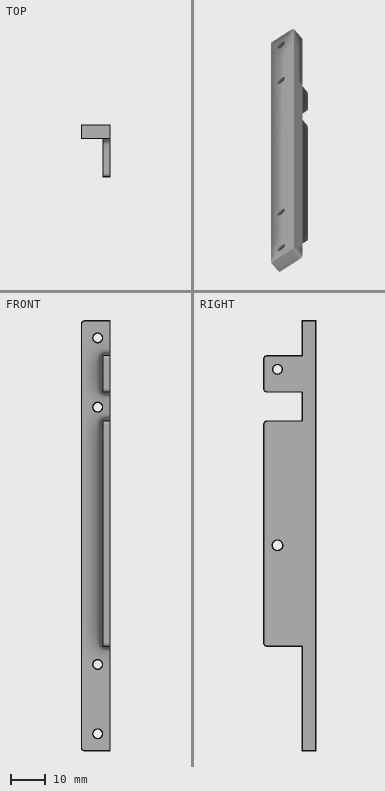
import cadquery as cq

bar_width = 8.3
bar_depth = 4.0
bar_height = 124.2
bar_corner_radius = 1.0

bar_hole_diameter = 2.7
bar_hole_x = 4.7
end_hole_inset = 5.0
hole_pair_pitch = 20.0

flange_thickness = 2.1
flange_reach = 11.0
flange_corner_radius = 1.0
flange_hole_inset = 4.0

short_flange_bottom = 103.5
short_flange_height = 10.5
short_flange_hole_z = short_flange_bottom + short_flange_height - flange_hole_inset
short_flange_hole_diameter = 2.7

long_flange_bottom = 30.2
long_flange_height = 65.1
long_flange_hole_z = 59.4
long_flange_hole_diameter = 3.0


def make_bar():
    """Bar with its two -X corners rounded and its screw holes drilled along Y."""
    bar = cq.Workplane("XY").box(bar_width, bar_depth, bar_height, centered=False)
    bar = bar.edges("|Y and <X").fillet(bar_corner_radius)
    lower_holes = [end_hole_inset, end_hole_inset + hole_pair_pitch]
    upper_holes = [bar_height - z for z in lower_holes]
    hole_points = [(bar_hole_x, z) for z in lower_holes + upper_holes]
    drills = (
        cq.Workplane("XZ")
        .pushPoints(hole_points)
        .circle(bar_hole_diameter / 2)
        .extrude(-bar_depth)
    )
    return bar.cut(drills)


def make_flange(bottom, height, hole_z, hole_diameter):
    """Flange with rounded front corners and one hole along X."""
    flange_x = bar_width - flange_thickness
    flange = (
        cq.Workplane("XY")
        .box(flange_thickness, flange_reach, height, centered=False)
        .edges("|X and <Y")
        .fillet(flange_corner_radius)
        .translate((flange_x, -flange_reach, bottom))
    )
    drill = (
        cq.Workplane("YZ", origin=(flange_x, 0, 0))
        .center(flange_hole_inset - flange_reach, hole_z)
        .circle(hole_diameter / 2)
        .extrude(flange_thickness)
    )
    return flange.cut(drill)


short_flange = make_flange(
    short_flange_bottom, short_flange_height, short_flange_hole_z, short_flange_hole_diameter
)
long_flange = make_flange(
    long_flange_bottom, long_flange_height, long_flange_hole_z, long_flange_hole_diameter
)

result = make_bar().union(short_flange).union(long_flange)